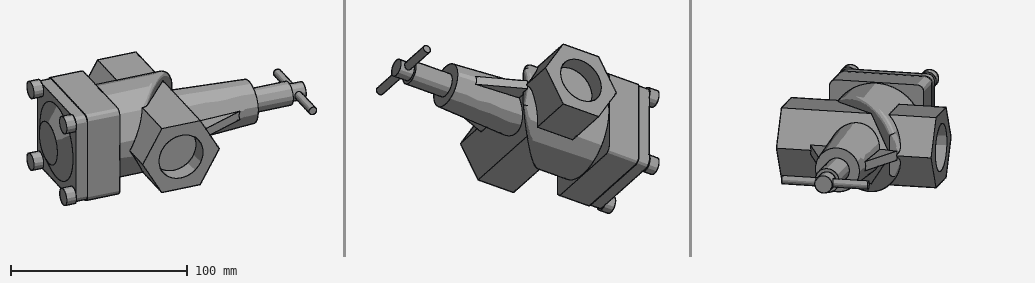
import cadquery as cq
import math


pipe_length = 90.0
hex_corner_radius = 23.7
bore_radius = 13.6
bore_depth = 10.0

body_radius = 27.0
body_end_y = 23.2
cut_start_x = -20.7
cut_slope = -0.85
body_edge_radius = 2.5

flange_width = 55.0
flange_top_y = -30.0
flange_bottom_y = -50.0
cover_width = 54.0
cover_bottom_y = -57.0
corner_radius = 4.0
bolt_head_radius = 5.0
bolt_span = 56.1
bolt_end_y = -63.0
cap_base_radius = 23.0
cap_tip_radius = 12.6
cap_end_y = -62.1

bonnet_base_radius = 16.3
bonnet_tip_radius = 12.8
bonnet_end_y = 62.0
rib_thickness = 5.4
rib_foot_x = 25.5
rib_foot_y = 22.5
rib_peak_x = 13.3
rib_peak_y = 50.2

stem_radius = 7.0
stem_end_y = 86.1
stem_tip_radius = 5.0
stem_tip_end_y = bolt_end_y + 158.0
handle_radius = 2.4
handle_length = 50.0
handle_y = 90.2


def cylinder_y(radius, start_y, end_y):
    """Cylinder on the main axis."""
    height = end_y - start_y
    return cq.Workplane(cq.Solid.makeCylinder(radius, height, cq.Vector(0, start_y, 0), cq.Vector(0, 1, 0)))


def cone_y(start_radius, end_radius, start_y, end_y):
    """Truncated cone on the main axis, directed from start_y to end_y."""
    height = abs(end_y - start_y)
    direction = cq.Vector(0, math.copysign(1, end_y - start_y), 0)
    return cq.Workplane(cq.Solid.makeCone(start_radius, end_radius, height, cq.Vector(0, start_y, 0), direction))


def cylinder_x(radius, start_x, length, y=0):
    """Cylinder parallel to the pipe axis."""
    return cq.Workplane(cq.Solid.makeCylinder(radius, length, cq.Vector(start_x, y, 0), cq.Vector(1, 0, 0)))


def square_block(width, start_y, end_y):
    """Square plate across the main axis with rounded corners."""
    height = end_y - start_y
    return (
        cq.Workplane("XY")
        .box(width, height, width)
        .edges("|Y")
        .fillet(corner_radius)
        .translate((0, (start_y + end_y) / 2, 0))
    )


def make_body():
    """Cylinder trimmed by a short flat and an oblique plane, with a rounded rim."""
    cut_end_y = body_end_y + cut_slope * (body_radius - cut_start_x)
    profile = [
        (-body_radius, flange_bottom_y),
        (-body_radius, body_end_y),
        (cut_start_x, body_end_y),
        (body_radius, cut_end_y),
        (body_radius, flange_bottom_y),
    ]
    trim = cq.Workplane("XY").polyline(profile).close().extrude(body_radius, both=True)
    body = cylinder_y(body_radius, flange_bottom_y, body_end_y).intersect(trim)
    rim_box = cq.selectors.BoxSelector(
        (-2 * body_radius, cut_end_y - 1.6, -2 * body_radius),
        (2 * body_radius, body_end_y + 1.6, 2 * body_radius),
    )
    return body.edges(rim_box).edges("not |Z").fillet(body_edge_radius)


def make_pipe():
    """Hexagonal bar along X with corners pointing along Y."""
    return (
        cq.Workplane("YZ")
        .polygon(6, 2 * hex_corner_radius)
        .extrude(pipe_length / 2, both=True)
    )


def make_rib(side):
    """Triangular web between the bonnet and the pipe; side is -1 or 1."""
    profile = [
        (0, rib_peak_y),
        (side * rib_peak_x, rib_peak_y),
        (side * rib_foot_x, rib_foot_y),
        (side * rib_foot_x, 0),
        (0, 0),
    ]
    return cq.Workplane("XY").polyline(profile).close().extrude(rib_thickness / 2, both=True)


def make_bolt_heads():
    """Four round heads at the corners of the cover."""
    pitch = bolt_span - 2 * bolt_head_radius
    return (
        cq.Workplane("XZ", origin=(0, cover_bottom_y, 0))
        .rect(pitch, pitch, forConstruction=True)
        .vertices()
        .circle(bolt_head_radius)
        .extrude(cover_bottom_y - bolt_end_y)
    )


result = make_body().union(make_pipe())

result = result.union(square_block(flange_width, flange_bottom_y, flange_top_y))
result = result.union(square_block(cover_width, cover_bottom_y, flange_bottom_y))
result = result.union(cone_y(cap_base_radius, cap_tip_radius, cover_bottom_y, cap_end_y))
result = result.union(make_bolt_heads())

result = result.union(cone_y(bonnet_base_radius, bonnet_tip_radius, 0, bonnet_end_y))
for rib_side in (-1, 1):
    result = result.union(make_rib(rib_side))

result = result.union(cylinder_y(stem_radius, bonnet_end_y, stem_end_y))
result = result.union(cylinder_y(stem_tip_radius, stem_end_y, stem_tip_end_y))
result = result.union(cylinder_x(handle_radius, -handle_length / 2, handle_length, handle_y))

for bore_start_x in (-pipe_length / 2, pipe_length / 2 - bore_depth):
    result = result.cut(cylinder_x(bore_radius, bore_start_x, bore_depth))